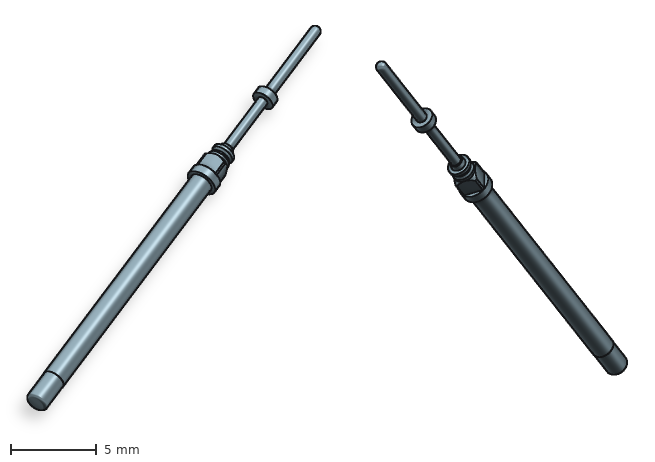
import cadquery as cq

TOTAL_LENGTH = 31.5
TIP_Y = TOTAL_LENGTH / 2

RING_START = 5.6
RING_END = 6.15
COLLAR_START = 10.1
DISC_START = 10.45
GROOVE_START = 10.68
GROOVE_END = 11.05
GROOVE_MIDDLE = (GROOVE_START + GROOVE_END) / 2
SQUARE_START = 11.25
FLANGE_START = 12.45
FLANGE_END = 13.0
TAIL_START = 29.5

FRONT_SHAFT_DIAMETER = 0.65
REAR_SHAFT_DIAMETER = 0.63
TIP_FILLET = 0.28
RING_DIAMETER = 1.35

BARREL_DIAMETER = 1.4
COLLAR_FRONT_DIAMETER = 0.82
COLLAR_REAR_DIAMETER = 0.9
GROOVE_BOTTOM_DIAMETER = 1.2
SQUARE_WIDTH = BARREL_DIAMETER
SQUARE_CORNER_DIAMETER = 1.83
FLANGE_DIAMETER = 1.9

SQUARE_CONE_END = SQUARE_START + (SQUARE_CORNER_DIAMETER - SQUARE_WIDTH) / 2

TAIL_DIAMETER = 1.35
TAIL_FILLET = 0.2


def tapered(start, end, start_diameter, end_diameter):
    """Cone frustum on the Y axis between two stations."""
    y_start = TIP_Y - start
    y_end = TIP_Y - end
    outline = [
        (0, y_start),
        (start_diameter / 2, y_start),
        (end_diameter / 2, y_end),
        (0, y_end),
    ]
    return cq.Workplane("XY").polyline(outline).close().revolve(360, (0, 0), (0, 1))


def cylinder(start, end, diameter):
    """Cylinder on the Y axis between two stations."""
    return tapered(start, end, diameter, diameter)


def front_shaft():
    """Plunger shaft ahead of the ring, with a rounded tip."""
    shaft = cylinder(0, RING_START, FRONT_SHAFT_DIAMETER)
    return shaft.faces(">Y").edges().fillet(TIP_FILLET)


def wrench_square():
    """Square with its corners rounded to a circle and a coned front edge."""
    length = FLANGE_START - SQUARE_START
    middle_y = TIP_Y - (SQUARE_START + FLANGE_START) / 2
    block = cq.Workplane("XY").box(SQUARE_WIDTH, length, SQUARE_WIDTH).translate((0, middle_y, 0))
    cone = tapered(SQUARE_START, SQUARE_CONE_END, SQUARE_WIDTH, SQUARE_CORNER_DIAMETER)
    envelope = cone.union(cylinder(SQUARE_CONE_END, FLANGE_START, SQUARE_CORNER_DIAMETER))
    return block.intersect(envelope)


def tail():
    """End cap, slightly thinner than the barrel, with a rounded end."""
    cap = cylinder(TAIL_START, TOTAL_LENGTH, TAIL_DIAMETER)
    return cap.faces("<Y").edges().fillet(TAIL_FILLET)


sections = [
    front_shaft(),
    cylinder(RING_START, RING_END, RING_DIAMETER),
    cylinder(RING_END, COLLAR_START, REAR_SHAFT_DIAMETER),
    tapered(COLLAR_START, DISC_START, COLLAR_FRONT_DIAMETER, COLLAR_REAR_DIAMETER),
    cylinder(DISC_START, GROOVE_START, BARREL_DIAMETER),
    tapered(GROOVE_START, GROOVE_MIDDLE, BARREL_DIAMETER, GROOVE_BOTTOM_DIAMETER),
    tapered(GROOVE_MIDDLE, GROOVE_END, GROOVE_BOTTOM_DIAMETER, BARREL_DIAMETER),
    cylinder(GROOVE_END, SQUARE_START, BARREL_DIAMETER),
    wrench_square(),
    cylinder(FLANGE_START, FLANGE_END, FLANGE_DIAMETER),
    cylinder(FLANGE_END, TAIL_START, BARREL_DIAMETER),
    tail(),
]

result = sections[0]
for section in sections[1:]:
    result = result.union(section)